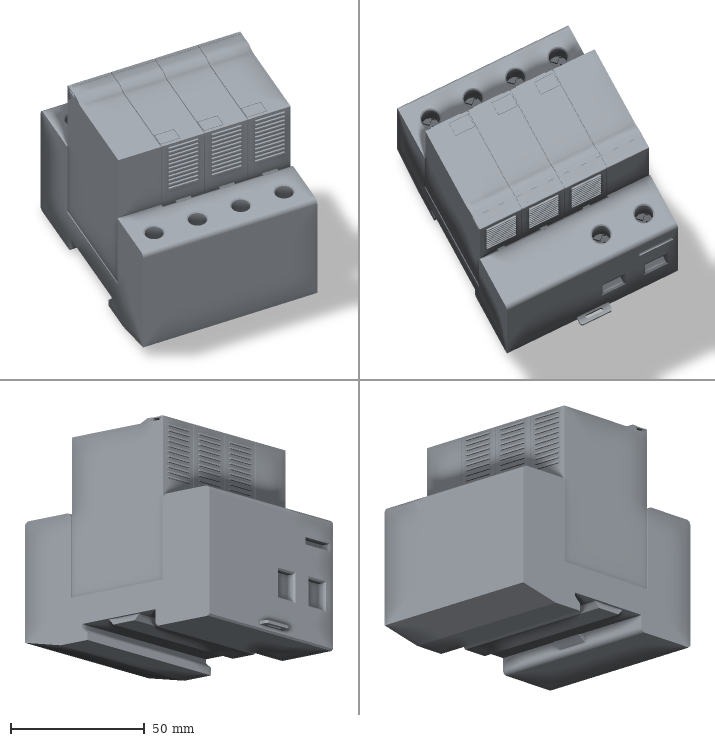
import cadquery as cq

TOTAL_LENGTH = 93.7
TOTAL_WIDTH = 72.0
TOTAL_HEIGHT = 80.9

TAB_REACH = 3.6
HOUSING_LENGTH = TOTAL_LENGTH - TAB_REACH
HOUSING_HEIGHT = 50.3
TOP_EDGE_RADIUS = 1.9
BASE_EDGE_CHAMFER = 0.75
SLOPE_START_X = 72.6
SLOPE_END_Z = 3.75

RAIL_NOTCH_LEFT = 26.3
RAIL_NOTCH_RIGHT = 62.1
RAIL_NOTCH_TOP = 6.6
RAIL_FOOT_RADIUS = 1.9
RAIL_LIP_X = 59.6
RAIL_LIP_LOW_Z = 2.9
RAIL_LIP_HIGH_Z = 5.1
RAIL_LIP_RADIUS = 0.6

MODULE_COUNT = 4
MODULE_PITCH = 17.9
PLUG_COUNT = 3
TOWER_LENGTH = 44.6
TOWER_LEFT = 23.0
TOWER_RIGHT = TOWER_LEFT + TOWER_LENGTH
TOWER_FOOT_Z = 17.5
TOWER_SETBACK = 0.4
TOWER_TOP_Z = 79.4
TOWER_EDGE_CHAMFER = 0.2
RIDGE_WIDTH = 7.8
RIDGE_SLOPE_LENGTH = 3.3
RIDGE_EDGE_RADIUS = 0.9
SEAM_WIDTH = 0.4
SEAM_DEPTH = 0.4

LABEL_LEFT = TOWER_LEFT + 1.5
LABEL_WIDTH = 3.9
LABEL_RECESS = 0.1
LABEL_TUNNEL_WIDTH = 3.2
LABEL_TUNNEL_FLOOR = 79.4
LABEL_TUNNEL_HEIGHT = 0.9
LABEL_TRACK_WIDTH = 5.2
LABEL_SETBACK = 0.3

INDICATOR_LENGTH = 5.6
INDICATOR_WIDTH = 8.2
INDICATOR_GAP = 0.2
INDICATOR_DEPTH = 0.3
INDICATOR_RIGHT = TOWER_RIGHT - 1.3
INDICATOR_SEAM_OFFSET = 0.3

RIB_COUNT = 11
RIB_PITCH = 2.005
RIB_TOP_CENTRE_Z = 77.6
RIB_HEIGHT = 0.7
RIB_WIDTH = 12.2
RIB_REACH = 0.75

GUTTER_RADIUS = 2.1
KEY_TOP_Z = HOUSING_HEIGHT - 0.1
KEY_HEIGHT = 1.9
KEY_REACH = 1.3
LEFT_KEY_WIDTH = 3.0
RIGHT_KEY_WIDTH = 6.2

SCREW_BORE_DIAMETER = 7.0
SCREW_MOUTH_DIAMETER = 8.1
SCREW_MOUTH_DEPTH = 0.5
SCREW_RIM_DEPTH = 9.4
SCREW_DOME_HEIGHT = 0.4
SCREW_SLOT_WIDTH = 1.2
SCREW_SLOT_LENGTH = 6.7
SCREW_SLOT_DEPTH = 1.1
SCREW_LEFT_X = 10.2
SCREW_RIGHT_X = HOUSING_LENGTH - 9.8
LEFT_SCREW_COUNT = 2
FIRST_SCREW_Y = 9.2

WIRE_MOUTH_WIDTH = 10.2
WIRE_MOUTH_HEIGHT = 11.8
WIRE_MOUTH_CHAMFER = 0.7
WIRE_MOUTH_DEPTH = 3.3
WIRE_MOUTH_CENTRE_Z = 20.05
SLOT_WIDTH = 14.1
SLOT_HEIGHT = 2.8
SLOT_DEPTH = 3.3
SLOT_CENTRE_Z = 39.4

LATCH_WIDTH = 13.3
LATCH_BOTTOM_Z = 2.2
TAB_THICKNESS = 1.2
TAB_CORNER_RADIUS = 1.1
TAB_SLOT_LENGTH = 7.1
TAB_SLOT_WIDTH = 1.5
TAB_SLOT_X = -1.5
HOOK_REACH = 3.4
HOOK_LOW_Z = 2.7
HOOK_TIP_Z = 5.2
HOOK_HIGH_Z = 5.8

PAD_CENTRE_X = 42.7
PAD_TOP_LENGTH = 14.6
PAD_BOTTOM_LENGTH = 10.5
PAD_HEIGHT = 2.25
PAD_SETBACK = 1.2

MID_Y = TOTAL_WIDTH / 2
FIRST_MODULE_Y = (TOTAL_WIDTH - MODULE_COUNT * MODULE_PITCH) / 2
MODULE_SEAMS = [FIRST_MODULE_Y + i * MODULE_PITCH for i in range(1, MODULE_COUNT)]
PLUG_CENTRES = [seam + MODULE_PITCH / 2 for seam in MODULE_SEAMS[-PLUG_COUNT:]]


def block(x_min, x_max, y_min, y_max, z_min, z_max):
    """Box given by its limits along each axis."""
    size = (x_max - x_min, y_max - y_min, z_max - z_min)
    return cq.Workplane("XY").box(*size, centered=False).translate((x_min, y_min, z_min))


def along_y(outline, y_min, y_max):
    """Prism of a closed outline drawn in X and Z."""
    return outline.extrude(y_min - y_max).translate((0, y_min, 0))


def make_housing():
    outline = (
        cq.Workplane("XZ")
        .moveTo(BASE_EDGE_CHAMFER, 0)
        .lineTo(RAIL_NOTCH_LEFT - RAIL_FOOT_RADIUS, 0)
        .radiusArc((RAIL_NOTCH_LEFT, RAIL_FOOT_RADIUS), -RAIL_FOOT_RADIUS)
        .lineTo(RAIL_NOTCH_LEFT, RAIL_NOTCH_TOP)
        .lineTo(RAIL_NOTCH_RIGHT, RAIL_NOTCH_TOP)
        .lineTo(RAIL_NOTCH_RIGHT, RAIL_LIP_HIGH_Z)
        .lineTo(RAIL_LIP_X, RAIL_LIP_LOW_Z)
        .lineTo(RAIL_LIP_X, 0)
        .lineTo(SLOPE_START_X, 0)
        .lineTo(HOUSING_LENGTH, SLOPE_END_Z)
        .lineTo(HOUSING_LENGTH, HOUSING_HEIGHT - TOP_EDGE_RADIUS)
        .radiusArc((HOUSING_LENGTH - TOP_EDGE_RADIUS, HOUSING_HEIGHT), -TOP_EDGE_RADIUS)
        .lineTo(TOP_EDGE_RADIUS, HOUSING_HEIGHT)
        .radiusArc((0, HOUSING_HEIGHT - TOP_EDGE_RADIUS), -TOP_EDGE_RADIUS)
        .lineTo(0, BASE_EDGE_CHAMFER)
        .close()
    )
    housing = along_y(outline, 0, TOTAL_WIDTH)
    lip_corner = cq.selectors.NearestToPointSelector((RAIL_NOTCH_RIGHT, MID_Y, RAIL_LIP_HIGH_Z))
    housing = housing.edges(lip_corner).fillet(RAIL_LIP_RADIUS)
    well = block(TOWER_LEFT, TOWER_RIGHT, 0, TOTAL_WIDTH, TOWER_FOOT_Z, HOUSING_HEIGHT)
    return housing.cut(well)


def gutter(wall_x, outward):
    """Cutter that rounds the housing top down to the tower wall; outward is -1 or 1."""
    outline = (
        cq.Workplane("XZ")
        .moveTo(wall_x + outward * GUTTER_RADIUS, HOUSING_HEIGHT)
        .radiusArc((wall_x, HOUSING_HEIGHT - GUTTER_RADIUS), -outward * GUTTER_RADIUS)
        .lineTo(wall_x, HOUSING_HEIGHT)
        .close()
    )
    return along_y(outline, MODULE_SEAMS[0], TOTAL_WIDTH)


def tower_body(inset):
    """Tower with its ridge; its ends and top are moved inward by inset."""
    left = TOWER_LEFT + inset
    right = TOWER_RIGHT - inset
    shoulder_z = TOWER_TOP_Z - inset
    ridge_z = TOTAL_HEIGHT - inset
    ridge_x = TOWER_LEFT + RIDGE_WIDTH
    slope_end_x = ridge_x + RIDGE_SLOPE_LENGTH
    corners = [
        (left, TOWER_FOOT_Z),
        (right, TOWER_FOOT_Z),
        (right, shoulder_z),
        (slope_end_x, shoulder_z),
        (ridge_x, ridge_z),
        (left, ridge_z),
    ]
    outline = cq.Workplane("XZ").polyline(corners).close()
    body = along_y(outline, TOWER_SETBACK, TOTAL_WIDTH - TOWER_SETBACK)
    for x, z in ((ridge_x, ridge_z), (slope_end_x, shoulder_z)):
        slope_edge = cq.selectors.NearestToPointSelector((x, MID_Y, z))
        body = body.edges(slope_edge).fillet(RIDGE_EDGE_RADIUS)
    return body.edges("|Y and >Z").edges("<X").chamfer(TOWER_EDGE_CHAMFER)


def make_tower():
    tower = tower_body(0)
    core = tower_body(SEAM_DEPTH)
    for seam_y in MODULE_SEAMS:
        seam = block(
            TOWER_LEFT, TOWER_RIGHT,
            seam_y - SEAM_WIDTH / 2, seam_y + SEAM_WIDTH / 2,
            HOUSING_HEIGHT - GUTTER_RADIUS, TOTAL_HEIGHT,
        )
        tower = tower.cut(seam.cut(core))
    return tower


def cut_label_strip(tower):
    """Lower the label strip, hollow it underneath and set it back at both ends of its track."""
    centre_x = LABEL_LEFT + LABEL_WIDTH / 2
    tower_front = TOWER_SETBACK
    tower_back = TOTAL_WIDTH - TOWER_SETBACK
    tunnel_top = LABEL_TUNNEL_FLOOR + LABEL_TUNNEL_HEIGHT
    tower = tower.cut(block(
        LABEL_LEFT, LABEL_LEFT + LABEL_WIDTH, tower_front, tower_back,
        TOTAL_HEIGHT - LABEL_RECESS, TOTAL_HEIGHT,
    ))
    tower = tower.cut(block(
        centre_x - LABEL_TUNNEL_WIDTH / 2, centre_x + LABEL_TUNNEL_WIDTH / 2, tower_front, tower_back,
        LABEL_TUNNEL_FLOOR, tunnel_top,
    ))
    for y_min in (tower_front, tower_back - LABEL_SETBACK):
        tower = tower.cut(block(
            centre_x - LABEL_TRACK_WIDTH / 2, centre_x + LABEL_TRACK_WIDTH / 2,
            y_min, y_min + LABEL_SETBACK,
            LABEL_TUNNEL_FLOOR, tunnel_top,
        ))
    return tower


def indicator_gap(seam_y):
    """Shallow frame around an indicator window that sits beside a seam."""
    y_min = seam_y + INDICATOR_SEAM_OFFSET
    y_max = y_min + INDICATOR_WIDTH
    x_min = INDICATOR_RIGHT - INDICATOR_LENGTH
    z_min = TOWER_TOP_Z - INDICATOR_DEPTH
    frame = block(x_min, INDICATOR_RIGHT, y_min, y_max, z_min, TOWER_TOP_Z)
    window = block(
        x_min + INDICATOR_GAP, INDICATOR_RIGHT - INDICATOR_GAP,
        y_min + INDICATOR_GAP, y_max - INDICATOR_GAP,
        z_min, TOWER_TOP_Z,
    )
    return frame.cut(window)


def rib_pair(y_centre, z_centre):
    """Bar through the tower that stands out as a grip rib from both of its ends."""
    return block(
        TOWER_LEFT - RIB_REACH, TOWER_RIGHT + RIB_REACH,
        y_centre - RIB_WIDTH / 2, y_centre + RIB_WIDTH / 2,
        z_centre - RIB_HEIGHT / 2, z_centre + RIB_HEIGHT / 2,
    )


def screw_hole(x, y):
    """Countersunk bore down to a domed screw head with a cross slot."""
    bore_radius = SCREW_BORE_DIAMETER / 2
    rim_z = -SCREW_RIM_DEPTH
    profile = [
        (0, 0),
        (SCREW_MOUTH_DIAMETER / 2, 0),
        (bore_radius, -SCREW_MOUTH_DEPTH),
        (bore_radius, rim_z),
        (0, rim_z + SCREW_DOME_HEIGHT),
    ]
    hole = cq.Workplane("XZ").polyline(profile).close().revolve(360, (0, 0, 0), (0, 1, 0))
    for angle in (45, 135):
        slot = (
            cq.Workplane("XY")
            .rect(SCREW_SLOT_LENGTH, SCREW_SLOT_WIDTH)
            .extrude(SCREW_SLOT_DEPTH + SCREW_DOME_HEIGHT)
            .translate((0, 0, rim_z - SCREW_SLOT_DEPTH))
            .rotate((0, 0, 0), (0, 0, 1), angle)
        )
        hole = hole.union(slot)
    return hole.translate((x, y, HOUSING_HEIGHT))


def wire_mouth(y_centre):
    """Rectangular terminal opening in the left face with a chamfered rim."""
    floor_width = WIRE_MOUTH_WIDTH - 2 * WIRE_MOUTH_CHAMFER
    floor_height = WIRE_MOUTH_HEIGHT - 2 * WIRE_MOUTH_CHAMFER
    rim_angle = 45
    rim = (
        cq.Workplane("YZ")
        .rect(WIRE_MOUTH_WIDTH, WIRE_MOUTH_HEIGHT)
        .extrude(WIRE_MOUTH_CHAMFER, taper=rim_angle)
    )
    opening = cq.Workplane("YZ").rect(floor_width, floor_height).extrude(WIRE_MOUTH_DEPTH)
    return rim.union(opening).translate((0, y_centre, WIRE_MOUTH_CENTRE_Z))


def make_latch():
    embed = 0.9
    tab = block(
        -TAB_REACH, embed, MID_Y - LATCH_WIDTH / 2, MID_Y + LATCH_WIDTH / 2,
        LATCH_BOTTOM_Z, LATCH_BOTTOM_Z + TAB_THICKNESS,
    )
    tab = tab.edges("|Z and <X").fillet(TAB_CORNER_RADIUS)
    tab_slot = (
        cq.Workplane("XY")
        .center(TAB_SLOT_X, MID_Y)
        .slot2D(TAB_SLOT_LENGTH, TAB_SLOT_WIDTH, 90)
        .extrude(LATCH_BOTTOM_Z + TAB_THICKNESS)
    )
    hook_outline = [
        (RAIL_NOTCH_LEFT - embed, HOOK_LOW_Z),
        (RAIL_NOTCH_LEFT, HOOK_LOW_Z),
        (RAIL_NOTCH_LEFT + HOOK_REACH, HOOK_TIP_Z),
        (RAIL_NOTCH_LEFT, HOOK_HIGH_Z),
        (RAIL_NOTCH_LEFT - embed, HOOK_HIGH_Z),
    ]
    hook = along_y(
        cq.Workplane("XZ").polyline(hook_outline).close(),
        MID_Y - LATCH_WIDTH / 2, MID_Y + LATCH_WIDTH / 2,
    )
    return tab.cut(tab_slot), hook


def make_pad():
    outline = [
        (PAD_CENTRE_X - PAD_TOP_LENGTH / 2, RAIL_NOTCH_TOP),
        (PAD_CENTRE_X - PAD_BOTTOM_LENGTH / 2, RAIL_NOTCH_TOP - PAD_HEIGHT),
        (PAD_CENTRE_X + PAD_BOTTOM_LENGTH / 2, RAIL_NOTCH_TOP - PAD_HEIGHT),
        (PAD_CENTRE_X + PAD_TOP_LENGTH / 2, RAIL_NOTCH_TOP),
    ]
    return along_y(cq.Workplane("XZ").polyline(outline).close(), PAD_SETBACK, TOTAL_WIDTH - PAD_SETBACK)


housing = make_housing()
housing = housing.cut(gutter(TOWER_LEFT, -1)).cut(gutter(TOWER_RIGHT, 1))
for i in range(MODULE_COUNT):
    screw_y = FIRST_SCREW_Y + i * MODULE_PITCH
    housing = housing.cut(screw_hole(SCREW_RIGHT_X, screw_y))
    if i < LEFT_SCREW_COUNT:
        housing = housing.cut(screw_hole(SCREW_LEFT_X, screw_y))
        housing = housing.cut(wire_mouth(screw_y))
housing = housing.cut(block(
    0, SLOT_DEPTH, FIRST_SCREW_Y - SLOT_WIDTH / 2, FIRST_SCREW_Y + SLOT_WIDTH / 2,
    SLOT_CENTRE_Z - SLOT_HEIGHT / 2, SLOT_CENTRE_Z + SLOT_HEIGHT / 2,
))

tower = cut_label_strip(make_tower())
for seam_y in MODULE_SEAMS:
    tower = tower.cut(indicator_gap(seam_y))
x_middle = (TOWER_LEFT + TOWER_RIGHT) / 2
for plug_y in PLUG_CENTRES:
    for i in range(RIB_COUNT):
        rib_z = RIB_TOP_CENTRE_Z - i * RIB_PITCH
        tower = tower.union(rib_pair(plug_y, rib_z))
    for x_min, x_max, width in (
        (TOWER_LEFT - KEY_REACH, x_middle, LEFT_KEY_WIDTH),
        (x_middle, TOWER_RIGHT + KEY_REACH, RIGHT_KEY_WIDTH),
    ):
        tower = tower.union(block(
            x_min, x_max, plug_y - width / 2, plug_y + width / 2, KEY_TOP_Z - KEY_HEIGHT, KEY_TOP_Z,
        ))

pull_tab, hook = make_latch()
result = housing.union(tower).union(pull_tab).union(hook).union(make_pad())